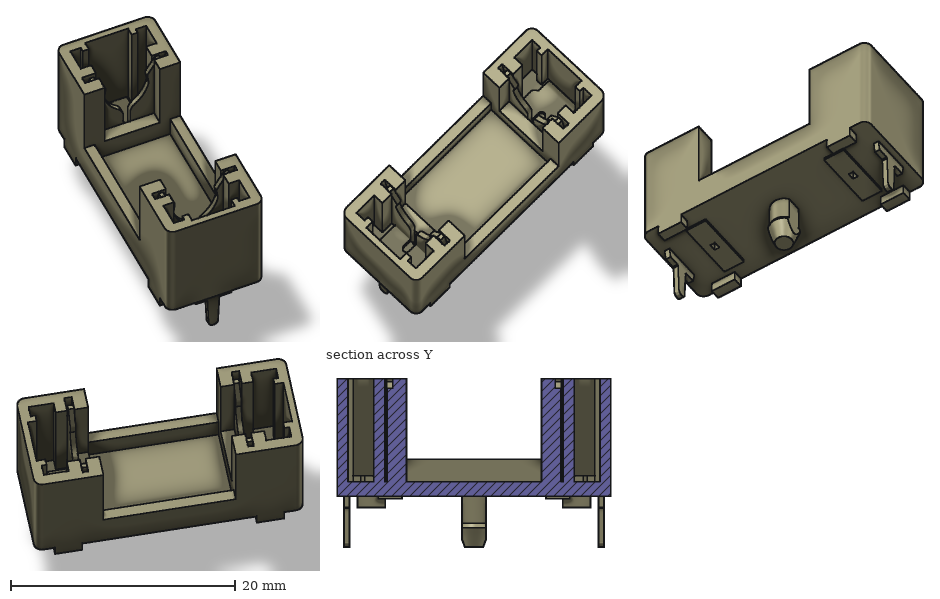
import cadquery as cq

length = 24.4
width = 9.4
height = 10.5
corner_radius = 0.75
notch_half_length = 6.0
notch_floor = 3.32
side_wall = 1.0
floor_top = 1.32

pocket_inner_x = 8.95
pocket_outer_x = 11.22
pocket_half_width = width / 2 - side_wall
channel_half_width = 2.68
rib_inner_x = 10.78
rib_gap_half_width = 2.1
end_wall = 0.6
recess_x = length / 2 - end_wall

metal = 0.51
blade_inner_x = 7.25
blade_outer_x = blade_inner_x + metal
slot_mouth_half = 4.05
slot_step_half = 3.8
slot_half_width = 3.51
slot_step_top = 8.69
slot_step_bottom = 8.4
slot_clearance = 0.17

foot_inner_x = 7.9
foot_outer_x = 10.4
foot_height = 1.0
pad_inner_x = 6.42
pad_outer_x = 8.55
pad_half_width = 3.0
pad_height = 0.22

post_depth = 4.51
post_radius = 1.3
post_half_thickness = 1.07
barb_radius = 1.46
barb_start_depth = 2.42
barb_depth = 2.78
post_tip_radius = 0.83

base_top = floor_top + metal
base_half_width = 2.25
strip_half_width = 1.8
shoulder_start_x = 9.74
shoulder_end_x = 10.1
outer_bend_radius = 0.65
inner_bend_radius = 0.07

arm_gap_half = 0.35
gap_end_x = 8.98
blade_top = 10.22
arm_tip_inner_y = 2.98
arm_tip_outer_y = 3.4
arm_shoulder_y = 3.73
kink_start = (2.12, 8.88)
kink_middle = (2.05, 8.74)
kink_end = (2.05, 8.56)
flare_start = (2.17, 7.69)
flare_middle = (1.75, 6.51)
throat_start = (0.93, 5.51)
throat_middle = (0.54, 5.12)
throat_bottom = 4.64

tab_top_half = 1.93
tab_bottom_half = 1.75
tab_straight_depth = 0.15
tab_depth = 0.98
pin_root_half = 0.65
pin_root_depth = 1.07
pin_half_width = 0.59
pin_tip_half = 0.46
pin_round_depth = 4.0


def block(x0, x1, y0, y1, z0, z1):
    """Box between two opposite corners."""
    return cq.Workplane("XY").box(x1 - x0, y1 - y0, z1 - z0, centered=False).translate((x0, y0, z0))


def centred_block(x0, x1, half_width, z0, z1):
    """Box that is symmetric about the XZ plane."""
    return block(x0, x1, -half_width, half_width, z0, z1)


def both_ends(shape):
    """The shape at the +X end together with its mirror image at the -X end."""
    return shape.union(shape.mirror("YZ"))


def make_housing():
    """Rounded block with a wide notch across the middle and a shallow tray in its floor."""
    body = cq.Workplane("XY").box(length, width, height, centered=(True, True, False))
    body = body.edges("|Z").fillet(corner_radius)
    notch = centred_block(-notch_half_length, notch_half_length, width, notch_floor, height)
    tray = centred_block(-notch_half_length, notch_half_length, pocket_half_width, floor_top, height)
    return body.cut(notch).cut(tray)


def make_slot(outer_x, side):
    """Blade slot on one side of the XZ plane, widening in steep steps towards its mouth."""
    return (
        cq.Workplane("YZ", origin=(blade_inner_x, 0, 0))
        .polyline([
            (0, floor_top),
            (side * slot_half_width, floor_top),
            (side * slot_half_width, slot_step_bottom),
            (side * slot_step_half, slot_step_top),
            (side * slot_mouth_half, height),
            (0, height),
        ])
        .close()
        .extrude(outer_x - blade_inner_x)
    )


def make_tower_cavity():
    """Everything removed from one tower: pocket, channel, end recess and blade slots."""
    pocket = centred_block(pocket_inner_x, pocket_outer_x, pocket_half_width, floor_top, height)
    for side in (1, -1):
        rib_width = channel_half_width - rib_gap_half_width
        rib_middle = side * (channel_half_width + rib_gap_half_width) / 2
        rib = block(
            rib_inner_x, pocket_outer_x,
            rib_middle - rib_width / 2, rib_middle + rib_width / 2, floor_top, height,
        )
        pocket = pocket.cut(rib)
    recess = centred_block(rib_inner_x, recess_x, rib_gap_half_width, floor_top, height)
    channel = centred_block(blade_inner_x, pocket_inner_x, channel_half_width, floor_top, height)
    opening = centred_block(notch_half_length, blade_inner_x, channel_half_width, notch_floor, height)
    slots = make_slot(blade_outer_x, 1).union(make_slot(blade_outer_x + slot_clearance, -1))
    return pocket.union(recess).union(channel).union(opening).union(slots)


def make_underside():
    """Two feet and the pad below one tower."""
    pad = centred_block(pad_inner_x, pad_outer_x, pad_half_width, -pad_height, floor_top)
    feet = centred_block(foot_inner_x, foot_outer_x, width / 2, -foot_height, 0)
    between_feet = centred_block(foot_inner_x, foot_outer_x, pocket_half_width, -foot_height, 0)
    return pad.union(feet.cut(between_feet))


def make_post():
    """Turned post with a snap barb, flattened on its two X sides."""
    post = (
        cq.Workplane("XZ")
        .polyline([
            (0, floor_top),
            (post_radius, floor_top),
            (post_radius, -barb_start_depth),
            (barb_radius, -barb_depth),
            (post_tip_radius, -post_depth),
            (0, -post_depth),
        ])
        .close()
        .revolve(360, (0, 0, 0), (0, 1, 0))
    )
    flats = centred_block(-post_half_thickness, post_half_thickness, barb_radius, -post_depth, floor_top)
    return post.intersect(flats)


def make_base_strip():
    """Contact strip on the pocket floor, bent up into the blade and down into the tail."""
    profile = (
        cq.Workplane("XZ")
        .moveTo(blade_inner_x, floor_top)
        .lineTo(blade_inner_x, base_top + inner_bend_radius)
        .lineTo(blade_outer_x, base_top + inner_bend_radius)
        .radiusArc((blade_outer_x + inner_bend_radius, base_top), -inner_bend_radius)
        .lineTo(recess_x - outer_bend_radius, base_top)
        .radiusArc((recess_x, base_top - outer_bend_radius), outer_bend_radius)
        .lineTo(recess_x, 0)
        .lineTo(recess_x - metal, 0)
        .lineTo(recess_x - metal, floor_top)
        .close()
        .extrude(base_half_width, both=True)
    )
    plan = (
        cq.Workplane("XY")
        .polyline([
            (blade_inner_x, -base_half_width),
            (shoulder_start_x, -base_half_width),
            (shoulder_end_x, -strip_half_width),
            (recess_x, -strip_half_width),
            (recess_x, strip_half_width),
            (shoulder_end_x, strip_half_width),
            (shoulder_start_x, base_half_width),
            (blade_inner_x, base_half_width),
        ])
        .close()
        .extrude(height)
    )
    return profile.intersect(plan)


def make_blade():
    """Upright plate of two arms, each with a flared inner edge and a shoulder on the slot step."""
    step_slope = (slot_step_top - slot_step_bottom) / (slot_step_half - slot_half_width)
    shoulder_z = slot_step_bottom + step_slope * (arm_shoulder_y - slot_half_width)
    arm = (
        cq.Workplane("YZ", origin=(blade_inner_x, 0, 0))
        .moveTo(arm_gap_half, floor_top)
        .lineTo(arm_gap_half, throat_bottom)
        .threePointArc(throat_middle, throat_start)
        .threePointArc(flare_middle, flare_start)
        .lineTo(*kink_end)
        .threePointArc(kink_middle, kink_start)
        .lineTo(arm_tip_inner_y, blade_top)
        .lineTo(arm_tip_outer_y, blade_top)
        .lineTo(arm_shoulder_y, shoulder_z)
        .lineTo(slot_half_width, slot_step_bottom)
        .lineTo(slot_half_width, floor_top)
        .close()
        .extrude(metal)
    )
    return arm.union(arm.mirror("XZ"))


def make_arm_gap():
    """Round-ended cut that parts the arms and runs on into the base strip."""
    gap_round_x = gap_end_x - arm_gap_half
    gap = centred_block(blade_inner_x, gap_round_x, arm_gap_half, floor_top, height)
    gap_end = (
        cq.Workplane("XY", origin=(gap_round_x, 0, floor_top))
        .circle(arm_gap_half)
        .extrude(height - floor_top)
    )
    return gap.union(gap_end)


def make_tail():
    """Tapered tab and solder pin below the housing."""
    near_side = [
        (tab_top_half, 0),
        (tab_top_half, -tab_straight_depth),
        (tab_bottom_half, -tab_depth),
        (pin_root_half, -tab_depth),
        (pin_half_width, -pin_root_depth),
        (pin_tip_half, -pin_round_depth),
    ]
    far_side = [(-y, z) for y, z in reversed(near_side)]
    tail = cq.Workplane("YZ", origin=(recess_x - metal, 0, 0)).polyline(near_side)
    tail = tail.threePointArc((0, -post_depth), far_side[0])
    for corner in far_side[1:]:
        tail = tail.lineTo(*corner)
    return tail.close().extrude(metal)


def make_contact():
    """Complete sheet-metal contact of one tower."""
    return make_base_strip().union(make_blade()).cut(make_arm_gap()).union(make_tail())


drain = centred_block(blade_inner_x, blade_outer_x, arm_gap_half, -pad_height, floor_top)

housing = make_housing().cut(both_ends(make_tower_cavity()))
housing = housing.union(both_ends(make_underside())).union(make_post())
housing = housing.cut(both_ends(drain))
result = housing.union(both_ends(make_contact()))